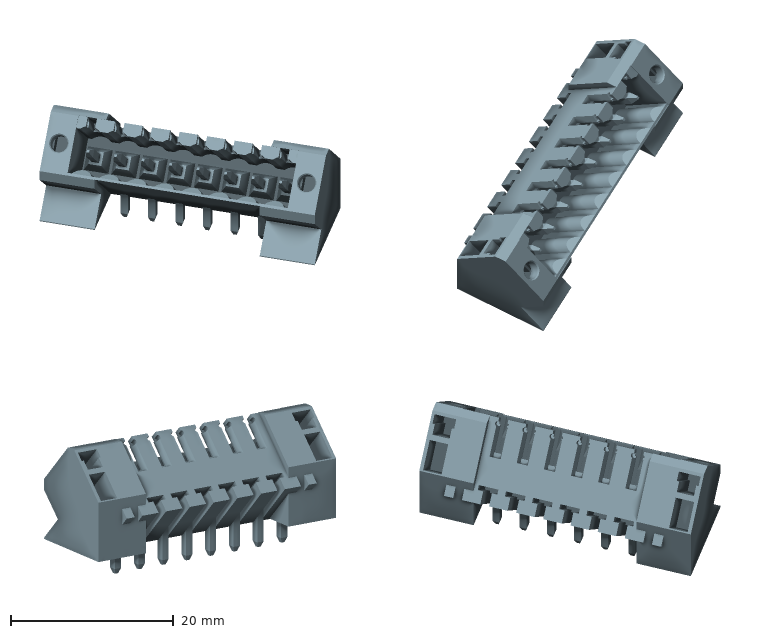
import cadquery as cq
import math

POLE_COUNT = 8
POLE_PITCH = 3.5
POLE_XS = [(i - (POLE_COUNT - 1) / 2) * POLE_PITCH for i in range(POLE_COUNT)]
TILT = 45.0
LENGTH = 35.0
HALF_LENGTH = LENGTH / 2

FRAME_Y = 0.1
FRAME_Z = 7.63

HOUSING_LENGTH = POLE_COUNT * POLE_PITCH
HOUSING_HEIGHT = 7.52
HOUSING_DEPTH = 10.92

POCKET_DEPTH = 7.98
LOWER_WALL = 0.3
POCKET_TOP = 5.95

KEY_WIDTH = 2.5
GROOVE_RISE = 0.5
RIB_RISE = 0.75
RIB_LEAD = 0.95

NECK_WIDTH = 1.2
NECK_DEPTH = 0.8
SLIT_WIDTH = 0.88
SLIT_END = 4.35
WINDOW_WIDTH = 1.45
WINDOW_END = 4.95
WINDOW_CUT = 0.88
RELIEF_RADIUS = 0.298
RELIEF_OFFSET = 0.63
RELIEF_DEPTH = 0.77

SLOT_WIDTH = 1.12
UPPER_SLOT_DEPTH = 2.28
LOWER_SLOT_DEPTH = 1.35
CROSS_WIDTH = 2.52
CROSS_LENGTH = 0.63

PIN_WIDTH = 0.9
PIN_THICKNESS = 1.05
PIN_AXIS = 3.5
PIN_TIP_DEPTH = 1.12
PIN_TIP_LENGTH = 1.4
PIN_TIP_SIZE = 0.3
LEG_Y = 8.0
LEG_BOTTOM = -3.25
LEG_TIP_LENGTH = 0.7
LEG_TIP_SIZE = 0.45

COLLAR_WIDTH = 3.15
COLLAR_DEPTH = 2.98
COLLAR_TOP_WIDTH = 1.65
COLLAR_TOP_DEPTH = 1.7
COLLAR_HEIGHT = 1.45

FLANGE_LENGTH = 7.0
FLANGE_TOP = 13.0
FLANGE_BACK = 12.15
RIM_RISE = 7.65
RIDGE_BACK = 6.75
FRONT_BOTTOM = 6.3
NOTCH_Y = 3.1
NOTCH_Z = 3.25
TOE_HEIGHT = 0.15
FLANGE_STEP = (RIM_RISE - (FRAME_Z - FRAME_Y)) / math.sqrt(2)

SCREW_X = (HALF_LENGTH + HOUSING_LENGTH / 2) / 2
SCREW_DIAMETER = 2.17
SCREW_CHAMFER = 0.15
SCREW_AXIS = 3.7
FLANGE_HEIGHT = (RIDGE_BACK + FLANGE_TOP - FRAME_Y - FRAME_Z) / math.sqrt(2)
NUT_WIDTH = 2.8
NUT_START = 1.33
NUT_END = 2.52
SHANK_WIDTH = 2.2
SHANK_END = 3.85
NUT_FLOOR = SCREW_AXIS - NUT_WIDTH / 2
RECESS_X = 15.85
RECESS_WIDTH = 2.38
RECESS_START = 4.55
RECESS_END = 8.35
RECESS_CUT = 4.02

CLEAR = 0.35


def box(x, width, y_low, y_high, z_low, z_high):
    """Box centred on x in the X direction, with given Y and Z limits."""
    size = (width, y_high - y_low, z_high - z_low)
    corner = (x - width / 2, y_low, z_low)
    return cq.Workplane("XY").box(*size, centered=False).translate(corner)


def tilt(shape):
    """Move a shape from the tilted frame to the part axes."""
    return shape.rotate((0, 0, 0), (1, 0, 0), TILT).translate((0, FRAME_Y, FRAME_Z))


def frustum(x, y, z, size, top_size, height):
    """Rectangular frustum that narrows towards +Z (or -Z for a negative height)."""
    return (
        cq.Workplane("XY", origin=(x, y, z))
        .rect(*size)
        .workplane(offset=height)
        .rect(*top_size)
        .loft(combine=True)
    )


def key_segment(x, y, rise):
    """Circular segment bulging to +Y, running from the opening to the pocket floor."""
    half = KEY_WIDTH / 2
    return (
        cq.Workplane("XY")
        .moveTo(x - half, y)
        .threePointArc((x, y + rise), (x + half, y))
        .close()
        .extrude(-POCKET_DEPTH)
    )


def lower_rib(x):
    """Rounded rib on the lower wall with a flat sloping lead-in at the opening."""
    rib = key_segment(x, LOWER_WALL, RIB_RISE)
    lead = (
        cq.Workplane("YZ", origin=(x - KEY_WIDTH / 2, 0, 0))
        .moveTo(LOWER_WALL, 0)
        .lineTo(LOWER_WALL + RIB_RISE, -RIB_LEAD)
        .lineTo(LOWER_WALL + RIB_RISE, 0)
        .close()
        .extrude(KEY_WIDTH)
    )
    return rib.cut(lead)


def upper_wall_opening(x):
    """Key groove, entry neck, inner slit, tapered window and round reliefs of one pole."""
    top = HOUSING_HEIGHT
    ledge = top - WINDOW_CUT
    opening = key_segment(x, POCKET_TOP, GROOVE_RISE)
    opening = opening.union(box(x, NECK_WIDTH, POCKET_TOP, top, -NECK_DEPTH, 0))
    opening = opening.union(box(x, SLIT_WIDTH, POCKET_TOP, ledge, -SLIT_END, 0))
    window = (
        cq.Workplane("XY", origin=(0, 0, -WINDOW_END))
        .polyline([
            (x - SLIT_WIDTH / 2, ledge),
            (x - WINDOW_WIDTH / 2, top),
            (x + WINDOW_WIDTH / 2, top),
            (x + SLIT_WIDTH / 2, ledge),
        ])
        .close()
        .extrude(WINDOW_END - RELIEF_DEPTH)
    )
    opening = opening.union(window)
    reliefs = (
        cq.Workplane("XZ", origin=(x, top, -RELIEF_DEPTH))
        .pushPoints([(-RELIEF_OFFSET, 0), (RELIEF_OFFSET, 0)])
        .circle(RELIEF_RADIUS)
        .extrude(WINDOW_CUT)
    )
    return opening.union(reliefs)


def rear_slot(x):
    """T-shaped upper slot and plain, shallower lower slot behind one pole."""
    rear = -HOUSING_DEPTH
    upper_end = rear + UPPER_SLOT_DEPTH
    slot = box(x, SLOT_WIDTH, PIN_AXIS, HOUSING_HEIGHT + CLEAR, rear - CLEAR, upper_end)
    cross = box(x, CROSS_WIDTH, PIN_AXIS, HOUSING_HEIGHT + CLEAR, upper_end - CROSS_LENGTH, upper_end)
    lower = box(x, SLOT_WIDTH, -CLEAR, PIN_AXIS, rear - CLEAR, rear + LOWER_SLOT_DEPTH)
    return slot.union(cross).union(lower)


def flange(x_start):
    """End flange with a V notch in front and a roof-shaped top."""
    return (
        cq.Workplane("YZ", origin=(x_start, 0, 0))
        .polyline([
            (FLANGE_BACK, 0),
            (0, 0),
            (0, TOE_HEIGHT),
            (NOTCH_Y, NOTCH_Z),
            (0, FRONT_BOTTOM),
            (0, RIM_RISE),
            (FLANGE_TOP - RIM_RISE, FLANGE_TOP),
            (RIDGE_BACK, FLANGE_TOP),
            (FLANGE_BACK, FLANGE_TOP + RIDGE_BACK - FLANGE_BACK),
        ])
        .close()
        .extrude(FLANGE_LENGTH)
    )


def flange_cuts(side):
    """Screw hole, nut slot, screw shank slot and rear recess of one flange."""
    x = side * SCREW_X
    top = FLANGE_HEIGHT + CLEAR
    hole_radius = SCREW_DIAMETER / 2
    hole = (
        cq.Workplane("XY", origin=(x, SCREW_AXIS, FLANGE_STEP))
        .circle(hole_radius)
        .extrude(-NUT_START - FLANGE_STEP)
    )
    mouth = (
        cq.Workplane("XY", origin=(x, SCREW_AXIS, FLANGE_STEP))
        .circle(hole_radius + SCREW_CHAMFER)
        .workplane(offset=-SCREW_CHAMFER)
        .circle(hole_radius)
        .loft(combine=True)
    )
    nut = box(x, NUT_WIDTH, NUT_FLOOR, top, -NUT_END, -NUT_START)
    shank = box(x, SHANK_WIDTH, NUT_FLOOR, top, -SHANK_END, -NUT_END)
    recess_floor = FLANGE_HEIGHT - RECESS_CUT
    recess = box(side * RECESS_X, RECESS_WIDTH, recess_floor, top, -RECESS_END, -RECESS_START)
    return hole.union(mouth).union(nut).union(shank).union(recess)


def contact_blade(x):
    """Blade along the opening axis, with a tapered tip and a collar at its root."""
    shoulder = -(PIN_TIP_DEPTH + PIN_TIP_LENGTH)
    root = -(POCKET_DEPTH + CLEAR)
    section = (PIN_WIDTH, PIN_THICKNESS)
    low = PIN_AXIS - PIN_THICKNESS / 2
    blade = box(x, PIN_WIDTH, low, low + PIN_THICKNESS, root, shoulder)
    tip = frustum(x, PIN_AXIS, shoulder, section, (PIN_TIP_SIZE, PIN_TIP_SIZE), PIN_TIP_LENGTH)
    collar = frustum(
        x,
        PIN_AXIS,
        -POCKET_DEPTH,
        (COLLAR_WIDTH, COLLAR_DEPTH),
        (COLLAR_TOP_WIDTH, COLLAR_TOP_DEPTH),
        COLLAR_HEIGHT,
    )
    return blade.union(tip).union(collar)


def contact_leg(x):
    """Vertical solder leg, rising inside the housing to the axis of the blade."""
    shoulder = LEG_BOTTOM + LEG_TIP_LENGTH
    axis_sum = FRAME_Y + FRAME_Z + PIN_AXIS * math.sqrt(2)
    top = axis_sum - LEG_Y
    low = LEG_Y - PIN_THICKNESS / 2
    leg = box(x, PIN_WIDTH, low, low + PIN_THICKNESS, shoulder, top)
    tip = frustum(
        x, LEG_Y, shoulder, (PIN_WIDTH, PIN_THICKNESS), (LEG_TIP_SIZE, LEG_TIP_SIZE), -LEG_TIP_LENGTH
    )
    return leg.union(tip)


housing = box(0, HOUSING_LENGTH, 0, HOUSING_HEIGHT, -HOUSING_DEPTH, 0)
for pole_x in POLE_XS:
    housing = housing.cut(rear_slot(pole_x))
body = tilt(housing)
body = body.union(flange(-HALF_LENGTH))
body = body.union(flange(HALF_LENGTH - FLANGE_LENGTH))

body = body.cut(tilt(box(0, HOUSING_LENGTH, 0, HOUSING_HEIGHT, 0, CLEAR)))
body = body.cut(tilt(box(0, HOUSING_LENGTH, LOWER_WALL, POCKET_TOP, -POCKET_DEPTH, CLEAR)))
for pole_x in POLE_XS:
    body = body.cut(tilt(upper_wall_opening(pole_x)))
for side in (-1, 1):
    body = body.cut(tilt(flange_cuts(side)))

for pole_x in POLE_XS:
    body = body.union(tilt(lower_rib(pole_x)))
    body = body.union(tilt(contact_blade(pole_x)))
    body = body.union(contact_leg(pole_x))

result = body